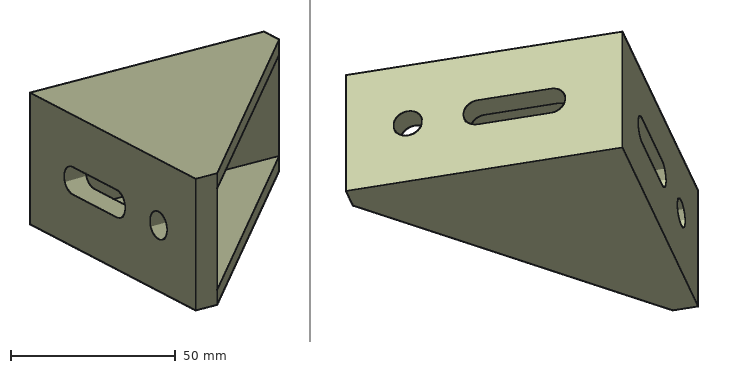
import cadquery as cq

leg_length = 87.0
height = 43.0
leg_thickness = 8.0
gusset_thickness = 5.0
hole_diameter = 9.0
hole_position = 67.5
slot_length = 32.0
slot_position = 34.0

mid_height = height / 2
cavity_height = height - 2 * gusset_thickness


def bracket_body():
    """Triangular block whose two sharp tips are cut square at the leg thickness."""
    return (
        cq.Workplane("XY")
        .moveTo(0, 0)
        .lineTo(leg_length, 0)
        .lineTo(leg_length, leg_thickness)
        .lineTo(leg_thickness, leg_length)
        .lineTo(0, leg_length)
        .close()
        .extrude(height)
    )


def cavity():
    """Space between the two gussets, open along the sloping side."""
    side = leg_length - leg_thickness
    return (
        cq.Workplane("XY")
        .box(side, side, cavity_height, centered=False)
        .translate((leg_thickness, leg_thickness, gusset_thickness))
    )


def leg_openings(plane, direction):
    """Round hole and slot through one leg, lengthwise along the leg."""
    hole = (
        cq.Workplane(plane)
        .center(hole_position, mid_height)
        .circle(hole_diameter / 2)
        .extrude(direction * leg_thickness)
    )
    slot = (
        cq.Workplane(plane)
        .center(slot_position, mid_height)
        .slot2D(slot_length, hole_diameter)
        .extrude(direction * leg_thickness)
    )
    return hole.union(slot)


result = (
    bracket_body()
    .cut(cavity())
    .cut(leg_openings("XZ", -1))
    .cut(leg_openings("YZ", 1))
)